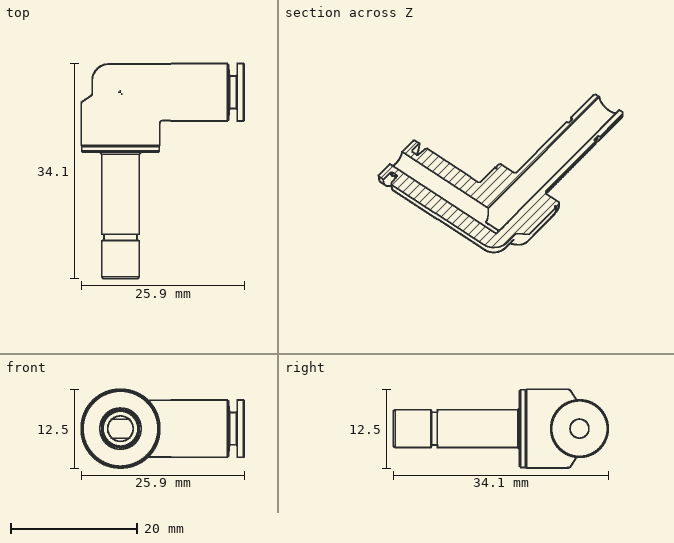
import cadquery as cq
import math

total_length = 34.05

arm_radius = 4.5
socket_radius = 4.55
socket_start = 7.83
socket_step = 0.27
socket_end = 17.1
socket_chamfer = 0.25
neck_radius = 2.6
neck_flare = 0.15
end_cone_length = 0.17
collar_start = 18.45
overall_width = 25.85
collar_radius = 4.55
collar_chamfer = 0.17

body_diameter = 12.5
body_radius = body_diameter / 2
shoulder_top = -0.4
shoulder_bottom = -1.55
shoulder_round = 0.5
body_end = -9.5
ring_start = -8.38
ring_gap = 0.2
ring_radius = 6.15
ring_chamfer = 0.25
blend_radius = 0.35

collar_end = overall_width - body_radius

stem_radius = 3.0
stem_end = socket_radius - total_length
stem_chamfer_length = 0.35
stem_chamfer_depth = 0.25
base_flare = 0.27
groove_radius = 2.62
groove_start = -22.47
groove_end = -23.35
groove_taper = 0.15

stem_bore_radius = 2.0
arm_bore_radius = 1.5

corner_ratio = 0.58
corner_sections = 12
corner_tip_angle = 87.0

pick_margin = 0.05


def turned_about_y(profile):
    """Revolve a closed (radius, y) profile about the Y axis."""
    return cq.Workplane("XY").polyline(profile).close().revolve(360, (0, 0, 0), (0, 1, 0))


def turned_about_x(profile):
    """Revolve a closed (x, radius) profile about the X axis."""
    return cq.Workplane("XY").polyline(profile).close().revolve(360, (0, 0, 0), (1, 0, 0))


def corner_outline(height, half_width):
    """Square outline with its outer corner rounded in proportion to its size."""
    tangent = half_width * (1 - corner_ratio)
    arc_middle = half_width * (1 - corner_ratio + corner_ratio * math.sqrt(0.5))
    return (
        cq.Workplane("XY", origin=(0, 0, height))
        .lineTo(-half_width, 0)
        .lineTo(-half_width, tangent)
        .threePointArc((-arc_middle, arc_middle), (-tangent, half_width))
        .lineTo(0, half_width)
        .close()
        .val()
    )


def make_corner():
    """Outer corner: outlines that shrink with height like the round arm section."""
    outlines = []
    for index in range(-corner_sections, corner_sections + 1):
        angle = math.radians(corner_tip_angle * index / corner_sections)
        outlines.append(corner_outline(arm_radius * math.sin(angle), arm_radius * math.cos(angle)))
    return cq.Workplane(cq.Solid.makeLoft(outlines))


def make_elbow():
    arm = cq.Workplane("YZ").circle(arm_radius).extrude(socket_start)
    root = cq.Workplane("XZ").circle(arm_radius).extrude(-ring_start)
    body = turned_about_y([
        (0, shoulder_top),
        (arm_radius, shoulder_top),
        (body_radius, shoulder_bottom),
        (body_radius, ring_start),
        (0, ring_start),
    ])
    body = body.edges(cq.selectors.BoxSelector(
        (-2 * body_radius, shoulder_bottom - pick_margin, -2 * body_radius),
        (2 * body_radius, shoulder_bottom + pick_margin, 2 * body_radius),
        boundingbox=True,
    )).fillet(shoulder_round)
    joined = arm.union(root).union(body)
    joined = joined.edges(cq.selectors.BoxSelector(
        (-arm_radius - pick_margin, -arm_radius - pick_margin, -arm_radius - pick_margin),
        (body_radius + pick_margin, shoulder_top + pick_margin, arm_radius + pick_margin),
        boundingbox=True,
    )).fillet(blend_radius)
    return joined.union(make_corner())


def make_socket():
    return turned_about_x([
        (socket_start, 0),
        (socket_start, arm_radius),
        (socket_start + socket_step, socket_radius),
        (socket_end - socket_chamfer, socket_radius),
        (socket_end, socket_radius - socket_chamfer),
        (socket_end + end_cone_length, neck_radius),
        (collar_start - neck_flare, neck_radius),
        (collar_start, neck_radius + neck_flare),
        (collar_start, collar_radius),
        (collar_end - collar_chamfer, collar_radius),
        (collar_end, collar_radius - collar_chamfer),
        (collar_end, 0),
    ])


def make_stem():
    return turned_about_y([
        (0, ring_start),
        (ring_radius - ring_chamfer, ring_start),
        (ring_radius - ring_chamfer, ring_start - ring_gap / 2),
        (ring_radius, ring_start - ring_gap),
        (ring_radius, body_end + ring_chamfer),
        (ring_radius - ring_chamfer, body_end),
        (stem_radius + base_flare, body_end),
        (stem_radius, body_end - base_flare),
        (stem_radius, groove_start),
        (groove_radius, groove_start),
        (groove_radius, groove_end),
        (stem_radius, groove_end - groove_taper),
        (stem_radius, stem_end + stem_chamfer_length),
        (stem_radius - stem_chamfer_depth, stem_end),
        (0, stem_end),
    ])


def make_passage():
    stem_bore = cq.Workplane("XZ").circle(stem_bore_radius).extrude(-stem_end)
    arm_bore = (
        cq.Workplane("YZ", origin=(-stem_bore_radius, 0, 0))
        .circle(arm_bore_radius)
        .extrude(stem_bore_radius + collar_end)
    )
    return stem_bore.union(arm_bore)


result = make_elbow().union(make_socket()).union(make_stem()).cut(make_passage())